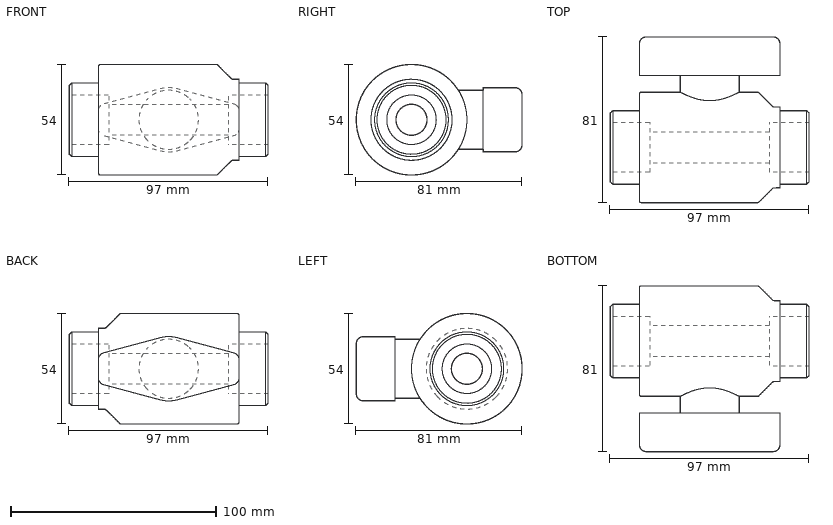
import cadquery as cq
import math

overall_length = 97.0
half_length = overall_length / 2
neck_length = 14.2
neck_radius = 36.0 / 2
neck_chamfer_axial = 1.3
neck_chamfer_radial = 1.2

body_radius = 54.0 / 2
body_edge_round = 1.1
shoulder_x = 23.7
cone_edge_round = 1.0
collar_edge_round = 1.2
slab_half_width = 0.1
collar_radius = 39.6 / 2

socket_radius = 24.2 / 2
socket_depth = 19.4
bore_radius = 15.0 / 2

stem_radius = 28.9 / 2
overall_width = 81.0
handle_top = overall_width - body_radius
handle_thickness = 19.0
handle_bottom = handle_top - handle_thickness
handle_half_length = half_length - neck_length
hub_radius = 15.7
handle_taper = math.radians(15)
handle_corner_round = 3.6
handle_top_round = 3.5


def make_body():
    """Revolve the body, cone, collar and both pipe necks about the X axis."""
    body_end = half_length - neck_length
    chamfer_radius = neck_radius - neck_chamfer_radial
    chamfer_x = half_length - neck_chamfer_axial
    cone_end = shoulder_x + body_radius - collar_radius
    profile = [
        (-half_length, 0),
        (-half_length, chamfer_radius),
        (-chamfer_x, neck_radius),
        (-body_end, neck_radius),
        (-body_end, body_radius),
        (shoulder_x, body_radius),
        (cone_end, collar_radius),
        (body_end, collar_radius),
        (body_end, neck_radius),
        (chamfer_x, neck_radius),
        (half_length, chamfer_radius),
        (half_length, 0),
    ]
    body = cq.Workplane("XY").polyline(profile).close().revolve(360, (0, 0), (1, 0))

    rounded_edges = (
        (-body_end, body_edge_round),
        (shoulder_x, cone_edge_round),
        (cone_end, collar_edge_round),
    )
    for x, edge_round in rounded_edges:
        slab = cq.selectors.BoxSelector(
            (x - slab_half_width, -body_radius - slab_half_width, -body_radius - slab_half_width),
            (x + slab_half_width, body_radius + slab_half_width, body_radius + slab_half_width),
            boundingbox=True,
        )
        outer_edge = cq.selectors.RadiusNthSelector(-1)
        body = body.edges(slab).edges(outer_edge).fillet(edge_round)
    return body


def along_y(start):
    """Sketch plane at Y = start with local axes X and Z; negative extrusion goes toward +Y."""
    return cq.Workplane("XZ", origin=(0, start, 0))


def make_handle():
    """Bar tapering from a round hub to both ends, rounded along its outer face."""
    tangent_x = hub_radius * math.sin(handle_taper)
    tangent_z = hub_radius * math.cos(handle_taper)
    end_z = tangent_z - (handle_half_length - tangent_x) * math.tan(handle_taper)
    outline = (
        along_y(handle_bottom)
        .moveTo(-handle_half_length, end_z)
        .lineTo(-tangent_x, tangent_z)
        .threePointArc((0, hub_radius), (tangent_x, tangent_z))
        .lineTo(handle_half_length, end_z)
        .lineTo(handle_half_length, -end_z)
        .lineTo(tangent_x, -tangent_z)
        .threePointArc((0, -hub_radius), (-tangent_x, -tangent_z))
        .lineTo(-handle_half_length, -end_z)
        .close()
    )
    handle = outline.extrude(-handle_thickness)
    handle = handle.edges("|Y and (<X or >X)").fillet(handle_corner_round)
    return handle.faces(">Y").edges().fillet(handle_top_round)


def make_passage():
    """Through bore with a wider pipe socket at each end."""
    bore = cq.Workplane("YZ").circle(bore_radius).extrude(half_length, both=True)
    socket = cq.Workplane("YZ", origin=(-half_length, 0, 0)).circle(socket_radius).extrude(socket_depth)
    return bore.union(socket).union(socket.mirror("YZ"))


stem = along_y(0).circle(stem_radius).extrude(-handle_bottom)
result = make_body().union(stem).union(make_handle()).cut(make_passage())